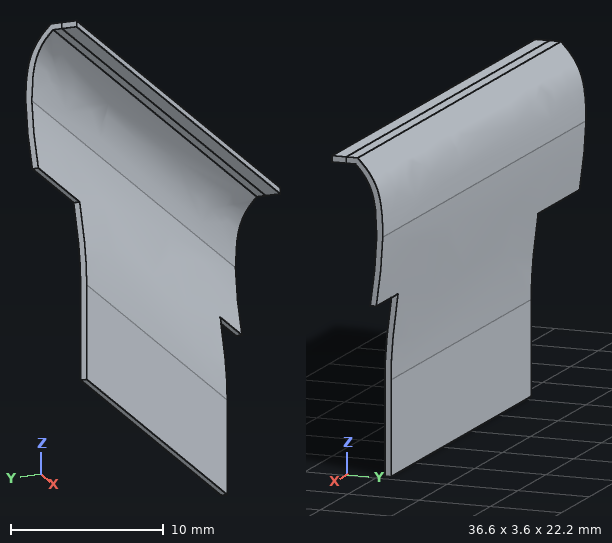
import cadquery as cq
import math

length = 36.57
height = 22.2
thickness = 0.45

strip_width = 1.02
bend_y = 1.83

left_notch_width = 7.42
right_notch_width = 3.9
notch_height = 12.32

bend_angle = 45.0
bulge_y = 3.6
bulge_z = 17.05
foot_y = 2.65
foot_top = 6.55

outer_bend_drop = 1.4
outer_bulge_rise = 2.75
inner_bend_drop = 1.1
inner_bulge_rise = 2.65
bulge_fall = 2.93
foot_rise = 4.02


def crown_curve(start, bend_drop, end, bulge_rise):
    """Control points from the bend, along its slope, down to the upright bulge."""
    run = bend_drop / math.tan(math.radians(bend_angle))
    return [start, (start[0] + run, start[1] - bend_drop), (end[0], end[1] + bulge_rise), end]


def web_curve(inset):
    """Control points of the S-curve from bulge to foot, moved forward by the inset."""
    back = bulge_y - inset
    front = foot_y - inset
    return [(back, bulge_z), (back, bulge_z - bulge_fall), (front, foot_top + foot_rise), (front, foot_top)]


def make_strip():
    """Flat strip along the front edge of the sheet."""
    return cq.Workplane("XY").box(length, strip_width, thickness, centered=False).translate(
        (0, 0, height - thickness)
    )


def make_notch(x_start, width):
    """Block that clears one lower corner of the sheet."""
    return cq.Workplane("XY").box(width, bulge_y, notch_height, centered=False).translate((x_start, 0, 0))


def make_sheet():
    """Curved sheet with a flat rim on top and a narrower tab below."""
    underside = height - thickness
    inner_bend_y = bend_y - thickness * math.tan(math.radians(bend_angle / 2))
    outer_crown = crown_curve((bend_y, height), outer_bend_drop, (bulge_y, bulge_z), outer_bulge_rise)
    inner_crown = crown_curve(
        (inner_bend_y, underside), inner_bend_drop, (bulge_y - thickness, bulge_z), inner_bulge_rise
    )
    profile = (
        cq.Workplane("YZ")
        .moveTo(strip_width, height)
        .lineTo(bend_y, height)
        .bezier(outer_crown)
        .bezier(web_curve(0))
        .lineTo(foot_y, 0)
        .lineTo(foot_y - thickness, 0)
        .lineTo(foot_y - thickness, foot_top)
        .bezier(web_curve(thickness)[::-1])
        .bezier(inner_crown[::-1])
        .lineTo(strip_width, underside)
        .close()
    )
    sheet = profile.extrude(length)
    sheet = sheet.cut(make_notch(0, left_notch_width))
    return sheet.cut(make_notch(length - right_notch_width, right_notch_width))


strip = make_strip()
sheet = make_sheet()

result = cq.Compound.makeCompound([strip.val(), sheet.val()])